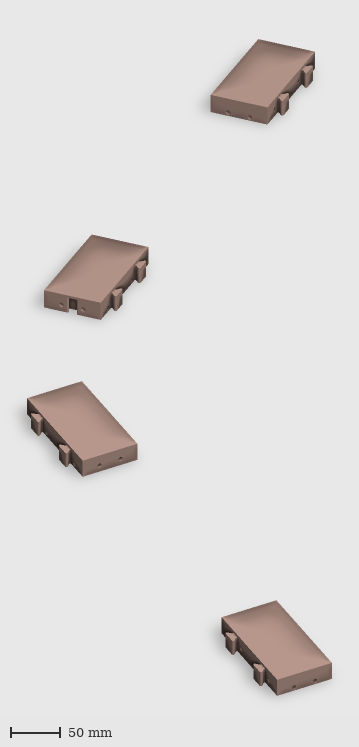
import cadquery as cq
import math

TOTAL_LENGTH = 540.0
CELLS_IN_LENGTH = 9
CELL = TOTAL_LENGTH / CELLS_IN_LENGTH
TILE_LENGTH = 2 * CELL
TILE_WIDTH = 62.0
TILE_HEIGHT = 20.0
FIRST_CELL_Y = CELL / 2
SECOND_CELL_Y = FIRST_CELL_Y + CELL
CELL_CENTRES = (FIRST_CELL_Y, SECOND_CELL_Y)
REAR_TILE_Y = TOTAL_LENGTH - TILE_LENGTH

TAB_LENGTH = 7.5
TAB_HEIGHT = 17.5
NECK_HALF_WIDTH = 4.05
NECK_LENGTH = 1.5
HEAD_HALF_WIDTH = 8.0
FLARE_END = 5.5
CONNECTOR_FILLET = 1.35
SLOT_CLEARANCE = 0.5
MOUTH_CHAMFER = 1.5

HOLE_DIAMETER = 5.0
HOLE_OFFSET = 12.0
UPPER_HOLE_Z = 7.5
LOWER_HOLE_Z = 4.0

INLAY_DEPTH = 2.5
STROKE = 3.0
BOWL_DIAMETER = 15.0
SMALL_BOWL_DIAMETER = 12.0
DIGIT_HEIGHT = BOWL_DIAMETER + SMALL_BOWL_DIAMETER - STROKE
DIGIT_TOP = DIGIT_HEIGHT / 2
BOWL_RADIUS = BOWL_DIAMETER / 2
BOWL_Y = BOWL_RADIUS - DIGIT_TOP
SMALL_BOWL_Y = DIGIT_TOP - SMALL_BOWL_DIAMETER / 2
BAR_END = 6.5
HOOK_END = 5.0
FOUR_HALF_WIDTH = 8.0
FOUR_STEM_LEFT = 2.0
FOUR_CROSSBAR_TOP = -3.0
FOUR_FOOT_LEFT = 0.0
FIVE_BOWL_START = 145
FIVE_BOWL_END = -160
THREE_OPENING = 170
THREE_MIDDLE_LEFT = -2.0



def connector(length, head_half_width):
    """Rounded dovetail with its root at x = 0, pointing to +X and standing on z = 0."""
    upper_side = [
        (0, NECK_HALF_WIDTH),
        (NECK_LENGTH, NECK_HALF_WIDTH),
        (FLARE_END, head_half_width),
        (length, head_half_width),
    ]
    lower_side = [(x, -y) for x, y in reversed(upper_side)]
    body = cq.Workplane("XY").polyline(upper_side + lower_side).close().extrude(TAB_HEIGHT)
    return body.edges("|Z").edges("not <X").fillet(CONNECTOR_FILLET)


def slot():
    """Cutter for a slot that enters the -Y end of a tile and has a chamfered mouth."""
    mouth = NECK_HALF_WIDTH + MOUTH_CHAMFER
    lead_in = (
        cq.Workplane("XY")
        .moveTo(0, -mouth)
        .lineTo(0, mouth)
        .lineTo(MOUTH_CHAMFER, NECK_HALF_WIDTH)
        .lineTo(MOUTH_CHAMFER, -NECK_HALF_WIDTH)
        .close()
        .extrude(TAB_HEIGHT)
    )
    cavity = connector(TAB_LENGTH + SLOT_CLEARANCE, HEAD_HALF_WIDTH + SLOT_CLEARANCE)
    cutter = cavity.union(lead_in).rotate((0, 0, 0), (0, 0, 1), 90)
    return cutter.translate((TILE_WIDTH / 2, 0, 0))



def bar(left, right, bottom, top):
    """Rectangular stroke between the given limits."""
    size = (right - left, top - bottom, INLAY_DEPTH)
    return cq.Workplane("XY").box(*size, centered=False).translate((left, bottom, 0))


def bowl(diameter, centre_y, start, end):
    """Curved stroke about x = 0, running clockwise between two angles in degrees."""
    outer = diameter / 2
    inner = outer - STROKE

    def point(radius, angle):
        turn = math.radians(angle)
        return (radius * math.cos(turn), centre_y + radius * math.sin(turn))

    middle = (start + end) / 2
    return (
        cq.Workplane("XY")
        .moveTo(*point(outer, start))
        .threePointArc(point(outer, middle), point(outer, end))
        .lineTo(*point(inner, end))
        .threePointArc(point(inner, middle), point(inner, start))
        .close()
        .extrude(INLAY_DEPTH)
    )


def digit_three():
    """Small upper bowl and larger lower bowl that share the middle stroke."""
    upper = bowl(SMALL_BOWL_DIAMETER, SMALL_BOWL_Y, THREE_OPENING, -90)
    lower = bowl(BOWL_DIAMETER, BOWL_Y, 90, -THREE_OPENING)
    middle_top = BOWL_Y + BOWL_RADIUS
    middle = bar(THREE_MIDDLE_LEFT, 0, middle_top - STROKE, middle_top)
    return upper.union(lower).union(middle)


def digit_four():
    """Slanted stroke, crossbar, and a stem that ends in a foot."""
    stem_right = FOUR_STEM_LEFT + STROKE
    crossbar_bottom = FOUR_CROSSBAR_TOP - STROKE
    stem = bar(FOUR_STEM_LEFT, stem_right, -DIGIT_TOP, DIGIT_TOP)
    crossbar = bar(-FOUR_HALF_WIDTH, FOUR_HALF_WIDTH, crossbar_bottom, FOUR_CROSSBAR_TOP)
    foot = bar(FOUR_FOOT_LEFT, FOUR_HALF_WIDTH, -DIGIT_TOP, STROKE - DIGIT_TOP)
    slant = (
        cq.Workplane("XY")
        .moveTo(-FOUR_HALF_WIDTH, FOUR_CROSSBAR_TOP)
        .lineTo(FOUR_STEM_LEFT, DIGIT_TOP)
        .lineTo(stem_right, DIGIT_TOP)
        .lineTo(STROKE - FOUR_HALF_WIDTH, FOUR_CROSSBAR_TOP)
        .close()
        .extrude(INLAY_DEPTH)
    )
    return stem.union(crossbar).union(foot).union(slant)


def digit_five():
    """Top bar, short stem on the left, and an open bowl."""
    stem_left = BOWL_RADIUS * math.cos(math.radians(FIVE_BOWL_START))
    stem_foot = BOWL_Y + BOWL_RADIUS * math.sin(math.radians(FIVE_BOWL_START)) - STROKE / 2
    top = bar(stem_left, BAR_END, DIGIT_TOP - STROKE, DIGIT_TOP)
    stem = bar(stem_left, stem_left + STROKE, stem_foot, DIGIT_TOP)
    return top.union(stem).union(bowl(BOWL_DIAMETER, BOWL_Y, FIVE_BOWL_START, FIVE_BOWL_END))


def digit_six():
    """Closed bowl whose left side rises and bends over into a short hook."""
    ring = bowl(BOWL_DIAMETER, BOWL_Y, 180, 0).union(bowl(BOWL_DIAMETER, BOWL_Y, 0, -180))
    bend_y = DIGIT_TOP - BOWL_RADIUS
    side = bar(-BOWL_RADIUS, STROKE - BOWL_RADIUS, BOWL_Y, bend_y)
    bend = bowl(BOWL_DIAMETER, bend_y, 180, 90)
    hook = bar(0, HOOK_END, DIGIT_TOP - STROKE, DIGIT_TOP)
    return ring.union(side).union(bend).union(hook)


def inlay(digit, cell_centre_y):
    """Place a digit in its cell, flush with the top face of a tile."""
    return digit.translate((TILE_WIDTH / 2, cell_centre_y, TILE_HEIGHT - INLAY_DEPTH))



def tile(cross_hole_z, long_hole_z):
    """Tile with its corner at the origin, two tabs and all of its wire holes."""
    body = cq.Workplane("XY").box(TILE_WIDTH, TILE_LENGTH, TILE_HEIGHT, centered=False)
    for centre in CELL_CENTRES:
        tab = connector(TAB_LENGTH, HEAD_HALF_WIDTH)
        body = body.union(tab.translate((TILE_WIDTH, centre, 0)))

    hole_radius = HOLE_DIAMETER / 2
    for side in (-HOLE_OFFSET, HOLE_OFFSET):
        cross_points = [(cross_hole_z, centre + side) for centre in CELL_CENTRES]
        cross = cq.Workplane("ZY").pushPoints(cross_points).circle(hole_radius).extrude(-TILE_WIDTH)
        along = (
            cq.Workplane("ZX")
            .center(long_hole_z, TILE_WIDTH / 2 + side)
            .circle(hole_radius)
            .extrude(TILE_LENGTH)
        )
        body = body.cut(cross).cut(along)
    return body



front_digits = [inlay(digit_three(), FIRST_CELL_Y), inlay(digit_four(), SECOND_CELL_Y)]
rear_digits = [
    inlay(digit_five(), REAR_TILE_Y + FIRST_CELL_Y),
    inlay(digit_six(), REAR_TILE_Y + SECOND_CELL_Y),
]

front_tile = tile(LOWER_HOLE_Z, UPPER_HOLE_Z).cut(slot())
for digit in front_digits:
    front_tile = front_tile.cut(digit)

rear_tile = tile(UPPER_HOLE_Z, LOWER_HOLE_Z).translate((0, REAR_TILE_Y, 0))
for digit in rear_digits:
    rear_tile = rear_tile.cut(digit)

bodies = [front_tile, rear_tile] + front_digits + rear_digits
result = cq.Compound.makeCompound([body.solids().val() for body in bodies])